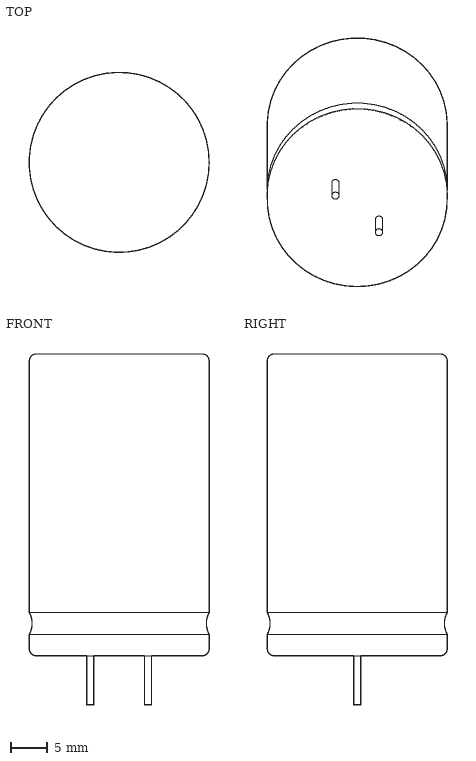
import cadquery as cq

can_radius = 25.0 / 2
can_height = 41.9
rim_radius = 1.0

groove_bottom = 3.0
groove_width = 3.0
groove_depth = 0.39
groove_top = groove_bottom + groove_width
groove_middle = groove_bottom + groove_width / 2

overall_height = 48.7
lead_diameter = 1.0
lead_length = overall_height - can_height
lead_spacing = 8.0


def make_can():
    """Revolve the half profile of the can, then round both rims."""
    profile = (
        cq.Workplane("XZ")
        .lineTo(can_radius, 0)
        .lineTo(can_radius, groove_bottom)
        .threePointArc((can_radius - groove_depth, groove_middle), (can_radius, groove_top))
        .lineTo(can_radius, can_height)
        .lineTo(0, can_height)
        .close()
    )
    can = profile.revolve(360, (0, 0, 0), (0, 1, 0))
    return can.faces("<Z or >Z").edges().fillet(rim_radius)


def make_lead(x):
    """One lead hanging from the underside of the can at the given X."""
    return cq.Workplane("XY").center(x, 0).circle(lead_diameter / 2).extrude(-lead_length)


can = make_can()
leads = [make_lead(side * lead_spacing / 2) for side in (-1, 1)]

result = cq.Compound.makeCompound([can.val(), *[lead.val() for lead in leads]])